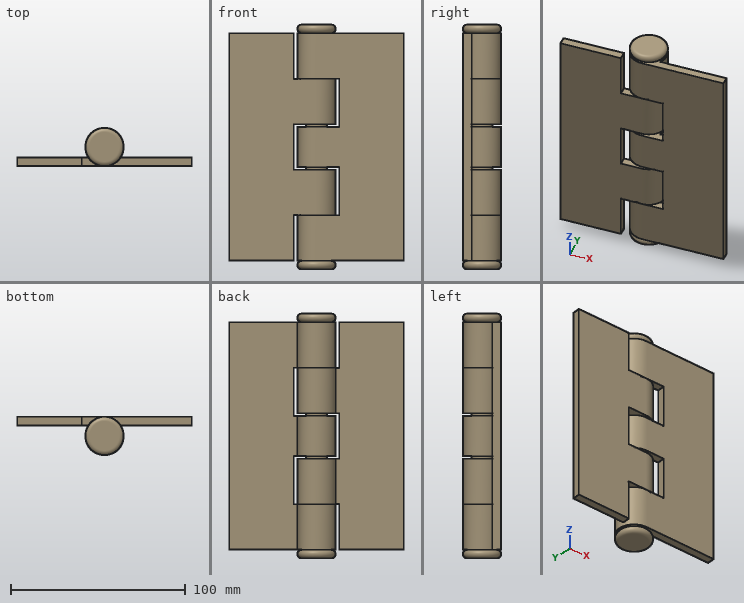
import cadquery as cq

total_height = 140.0
leaf_span = 100.0
barrel_diameter = 22.0
leaf_thickness = 5.0
pin_diameter = 12.0
leaf_height = 130.0
outer_knuckle_height = 26.0
left_knuckle_height = 26.0
middle_knuckle_height = 23.0
notch_reach = 12.9

barrel_radius = barrel_diameter / 2
head_height = (total_height - leaf_height) / 2
leaf_reach = leaf_span / 2
outer_knuckle_z = (leaf_height - outer_knuckle_height) / 2
left_knuckle_z = leaf_height / 2 - outer_knuckle_height - left_knuckle_height / 2


def make_knuckle(side, center_z, height):
    """Bored barrel joined tangentially to its leaf by a flat tongue."""
    barrel = cq.Workplane("XY").circle(barrel_radius).extrude(height / 2, both=True)
    tongue = (
        cq.Workplane("XY")
        .center(side * notch_reach / 2, -barrel_radius + leaf_thickness / 2)
        .rect(notch_reach, leaf_thickness)
        .extrude(height / 2, both=True)
    )
    bore = cq.Workplane("XY").circle(pin_diameter / 2).extrude(height / 2, both=True)
    return barrel.union(tongue).cut(bore).translate((0, 0, center_z))


def make_leaf(side, knuckles):
    """Leaf plate on one side (-1 left, +1 right) with (center_z, height) knuckles."""
    plate_width = leaf_reach - notch_reach
    plate_x = side * (notch_reach + plate_width / 2)
    plate_y = -barrel_radius + leaf_thickness / 2
    leaf = cq.Workplane("XY").box(plate_width, leaf_thickness, leaf_height).translate((plate_x, plate_y, 0))
    for center_z, height in knuckles:
        leaf = leaf.union(make_knuckle(side, center_z, height))
    return leaf.clean()


def make_pin():
    """Straight pin with a rounded disc head beyond each end of the leaves."""
    pin = cq.Workplane("XY").circle(pin_diameter / 2).extrude(leaf_height / 2, both=True)
    flat_radius = barrel_radius - head_height / 2
    head = (
        cq.Workplane("XZ")
        .moveTo(0, -head_height / 2)
        .lineTo(flat_radius, -head_height / 2)
        .threePointArc((barrel_radius, 0), (flat_radius, head_height / 2))
        .lineTo(0, head_height / 2)
        .close()
        .revolve(360, (0, 0, 0), (0, 1, 0))
    )
    for end in (-1, 1):
        pin = pin.union(head.translate((0, 0, end * (leaf_height + head_height) / 2)))
    return pin


left_leaf = make_leaf(
    -1,
    [(end * left_knuckle_z, left_knuckle_height) for end in (-1, 1)],
)
right_leaf = make_leaf(
    1,
    [(end * outer_knuckle_z, outer_knuckle_height) for end in (-1, 1)] + [(0, middle_knuckle_height)],
)
pin = make_pin()

result = cq.Compound.makeCompound([left_leaf.val(), right_leaf.val(), pin.val()])